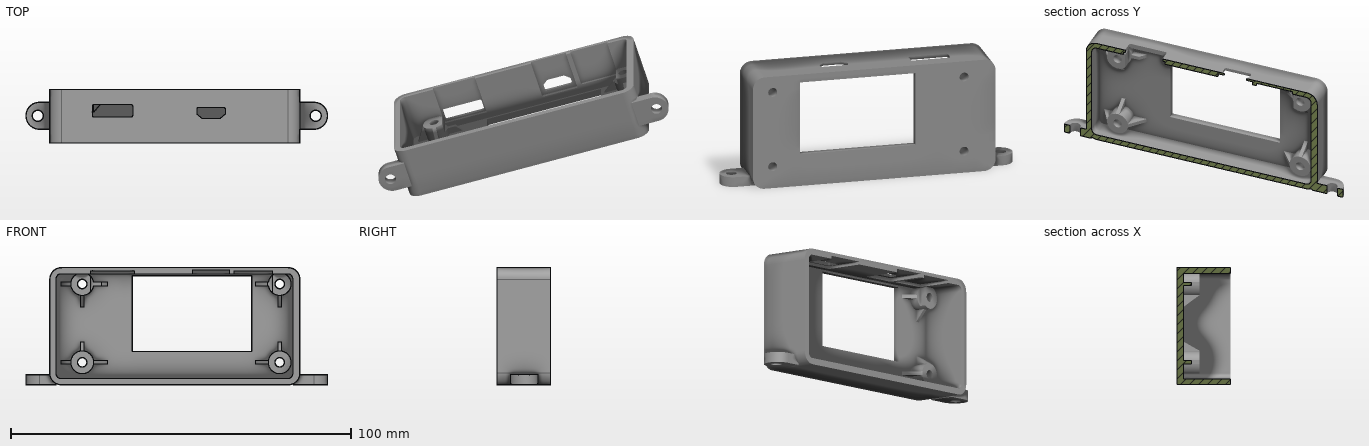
import cadquery as cq

BODY_WIDTH = 73.5
BODY_DEPTH = 15.75
BODY_HEIGHT = 34.5
OUTER_RADIUS = 3.5
WALL = 1.85
RIGHT_WALL = 2.1
INNER_RADIUS = 1.5
BACK_WALL = 2.0
FLOOR_Y = BODY_DEPTH - BACK_WALL

TOTAL_WIDTH = 88.62
LEFT_REACH = 7.0
RIGHT_REACH = TOTAL_WIDTH - BODY_WIDTH - LEFT_REACH
LUG_WIDTH = 8.0
LUG_THICKNESS = 3.0
LUG_CENTER_Y = 8.0
LUG_HOLE_DIAMETER = 3.2
LUG_HOLE_INSET = 3.5

WINDOW_LEFT = 24.3
WINDOW_BOTTOM = 9.85
WINDOW_WIDTH = 35.0
WINDOW_HEIGHT = 22.2

BOSS_LEFT = 9.55
BOSS_BOTTOM = 6.65
BOSS_PITCH_X = 58.0
BOSS_PITCH_Z = 23.0
BOSS_RADIUS = 3.35
BOSS_HOLE_DIAMETER = 2.7
BOSS_HEIGHT = 4.7
BOSS_XS = (BOSS_LEFT, BOSS_LEFT + BOSS_PITCH_X)
BOSS_ZS = (BOSS_BOTTOM, BOSS_BOTTOM + BOSS_PITCH_Z)
BOSS_TIP_Y = FLOOR_Y - BOSS_HEIGHT

RIB_THICKNESS = 1.1
RIB_HEIGHT = 4.7
SHORT_RIB_HEIGHT = 3.0
RIB_REACH_LEFT = 6.2
RIB_REACH_RIGHT = 7.4
RIB_REACH_INWARD = 7.1
RIB_REACH_UP = 6.0
RIB_REACH_DOWN = 6.8

TOWARD_RIGHT = 0
TOWARD_TOP = 90
TOWARD_LEFT = 180
TOWARD_BOTTOM = 270

SLOT_CORNER = 0.5
HDMI_CENTER = 18.45
HDMI_WIDTH = 11.9
HDMI_FRONT_Y = 7.65
HDMI_BACK_Y = 11.3
USB_CENTER = 47.4
POWER_CENTER = 59.8
USB_WIDTH = 8.4
USB_FRONT_Y = 7.15
USB_BACK_Y = 10.45
USB_BEVEL_X = 1.6
USB_BEVEL_Y = 1.4

HDMI_CLEARANCE = 0.5
USB_CLEARANCE = 1.2
POWER_CLEARANCE = 0.5
HDMI_RECESS_BACK_Y = HDMI_BACK_Y + HDMI_CLEARANCE
USB_RECESS_BACK_Y = USB_BACK_Y + USB_CLEARANCE
POWER_RECESS_BACK_Y = USB_BACK_Y + POWER_CLEARANCE
RECESS_BOTTOM = 26.0
HDMI_RECESS_WIDTH = HDMI_WIDTH + 2 * HDMI_CLEARANCE
USB_RECESS_WIDTH = USB_WIDTH + 2 * USB_CLEARANCE
POWER_RECESS_WIDTH = 11.3
RECESS_ROOF = 1.0
USB_RECESS_ROOF = 0.8


def box(x0, x1, y0, y1, z0, z1):
    return cq.Workplane("XY").box(x1 - x0, y1 - y0, z1 - z0, centered=False).translate((x0, y0, z0))


def make_tray():
    outer = box(0, BODY_WIDTH, 0, BODY_DEPTH, 0, BODY_HEIGHT).edges("|Y").fillet(OUTER_RADIUS)
    cavity = box(WALL, BODY_WIDTH - RIGHT_WALL, 0, FLOOR_Y, WALL, BODY_HEIGHT - WALL)
    return outer.cut(cavity.edges("|Y").fillet(INNER_RADIUS))


def make_lug(side, end_x, root_x):
    """Flat tab with a round end at end_x; side is -1 on the left end and 1 on the right."""
    radius = LUG_WIDTH / 2
    center_x = end_x - side * radius
    tab = box(min(center_x, root_x), max(center_x, root_x), LUG_CENTER_Y - radius,
              LUG_CENTER_Y + radius, 0, LUG_THICKNESS)
    tip = cq.Workplane("XY").center(center_x, LUG_CENTER_Y).circle(radius).extrude(LUG_THICKNESS)
    hole = (cq.Workplane("XY").center(end_x - side * LUG_HOLE_INSET, LUG_CENTER_Y)
            .circle(LUG_HOLE_DIAMETER / 2).extrude(LUG_THICKNESS))
    return tab.union(tip).cut(hole)


def cylinder_y(x, z, radius, y0, y1):
    return cq.Workplane("XZ", origin=(x, y0, z)).circle(radius).extrude(y0 - y1)


def make_rib(x, z, reach, angle, height=RIB_HEIGHT):
    """Rib sloping from the side of a boss to the back wall, turned about the boss axis."""
    rib = (cq.Workplane("XY", origin=(0, 0, -RIB_THICKNESS / 2))
           .moveTo(0, FLOOR_Y)
           .lineTo(reach, FLOOR_Y)
           .lineTo(BOSS_RADIUS, FLOOR_Y - height)
           .lineTo(0, FLOOR_Y - height)
           .close()
           .extrude(RIB_THICKNESS))
    return rib.rotate((0, 0, 0), (0, 1, 0), -angle).translate((x, 0, z))


def add_bosses(body):
    left, right = BOSS_XS
    lower, upper = BOSS_ZS
    ribs = [
        make_rib(left, lower, RIB_REACH_LEFT, TOWARD_LEFT),
        make_rib(left, lower, RIB_REACH_RIGHT, TOWARD_RIGHT),
        make_rib(left, lower, RIB_REACH_UP, TOWARD_TOP),
        make_rib(left, upper, RIB_REACH_LEFT, TOWARD_LEFT),
        make_rib(left, upper, RIB_REACH_RIGHT, TOWARD_RIGHT),
        make_rib(left, upper, RIB_REACH_DOWN, TOWARD_BOTTOM),
        make_rib(right, lower, RIB_REACH_INWARD, TOWARD_LEFT),
        make_rib(right, lower, RIB_REACH_UP, TOWARD_TOP),
        make_rib(right, upper, RIB_REACH_INWARD, TOWARD_LEFT, SHORT_RIB_HEIGHT),
        make_rib(right, upper, RIB_REACH_DOWN, TOWARD_BOTTOM, SHORT_RIB_HEIGHT),
    ]
    for rib in ribs:
        body = body.union(rib)
    for x in BOSS_XS:
        for z in BOSS_ZS:
            body = body.union(cylinder_y(x, z, BOSS_RADIUS, BOSS_TIP_Y, FLOOR_Y))
    for x in BOSS_XS:
        for z in BOSS_ZS:
            body = body.cut(cylinder_y(x, z, BOSS_HOLE_DIAMETER / 2, 0, BODY_DEPTH))
    return body


def make_hdmi_slot():
    slot = box(HDMI_CENTER - HDMI_WIDTH / 2, HDMI_CENTER + HDMI_WIDTH / 2,
               HDMI_FRONT_Y, HDMI_BACK_Y, BODY_HEIGHT - WALL, BODY_HEIGHT)
    return slot.edges("|Z").fillet(SLOT_CORNER)


def make_usb_slot():
    """Slot with bevelled front corners and small rounds on the other two."""
    half = USB_WIDTH / 2
    slot = (cq.Workplane("XY", origin=(USB_CENTER, 0, BODY_HEIGHT - WALL))
            .moveTo(-half, USB_BACK_Y)
            .lineTo(half, USB_BACK_Y)
            .lineTo(half, USB_FRONT_Y + USB_BEVEL_Y)
            .lineTo(half - USB_BEVEL_X, USB_FRONT_Y)
            .lineTo(USB_BEVEL_X - half, USB_FRONT_Y)
            .lineTo(-half, USB_FRONT_Y + USB_BEVEL_Y)
            .close()
            .extrude(WALL))
    return slot.edges("|Z").edges(">Y").fillet(SLOT_CORNER)


def make_recess(center_x, width, back_y, roof):
    return box(center_x - width / 2, center_x + width / 2, 0, back_y,
               RECESS_BOTTOM, BODY_HEIGHT - roof)


def make_window():
    return box(WINDOW_LEFT, WINDOW_LEFT + WINDOW_WIDTH, FLOOR_Y, BODY_DEPTH,
               WINDOW_BOTTOM, WINDOW_BOTTOM + WINDOW_HEIGHT)


result = make_tray()
result = result.cut(make_window())
result = add_bosses(result)
result = result.cut(make_hdmi_slot())
result = result.cut(make_usb_slot())
result = result.cut(make_recess(HDMI_CENTER, HDMI_RECESS_WIDTH, HDMI_RECESS_BACK_Y, RECESS_ROOF))
result = result.cut(make_recess(USB_CENTER, USB_RECESS_WIDTH, USB_RECESS_BACK_Y, USB_RECESS_ROOF))
result = result.cut(make_recess(POWER_CENTER, POWER_RECESS_WIDTH, POWER_RECESS_BACK_Y, RECESS_ROOF))
result = result.union(make_lug(-1, -LEFT_REACH, WALL))
result = result.union(make_lug(1, BODY_WIDTH + RIGHT_REACH, BODY_WIDTH - WALL))